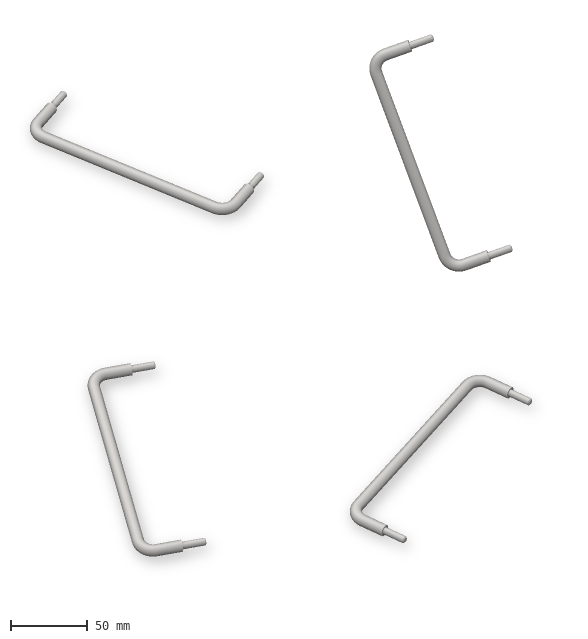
import cadquery as cq

rod_diameter = 8.0
leg_spacing = 150.0
body_depth = 31.0
bend_radius = 10.0
stud_diameter = 5.0
stud_length = 16.0
stud_chamfer = 0.8

leg_x = leg_spacing / 2
grip_y = rod_diameter / 2 - body_depth
bend_start_y = grip_y + bend_radius
grip_end_x = leg_x - bend_radius


def make_bent_rod():
    """Round rod swept along a U-shaped axis with tangent bends."""
    axis = (
        cq.Workplane("XY")
        .moveTo(-leg_x, 0)
        .lineTo(-leg_x, bend_start_y)
        .tangentArcPoint((-grip_end_x, grip_y), relative=False)
        .lineTo(grip_end_x, grip_y)
        .tangentArcPoint((leg_x, bend_start_y), relative=False)
        .lineTo(leg_x, 0)
    )
    section = cq.Workplane("XZ", origin=(-leg_x, 0, 0)).circle(rod_diameter / 2)
    return section.sweep(axis)


def make_stud(x):
    """Stud standing on a leg shoulder, with a chamfered tip."""
    return (
        cq.Workplane("XZ", origin=(x, 0, 0))
        .circle(stud_diameter / 2)
        .extrude(-stud_length)
        .faces(">Y")
        .chamfer(stud_chamfer)
    )


result = make_bent_rod()
for stud_x in (-leg_x, leg_x):
    result = result.union(make_stud(stud_x))